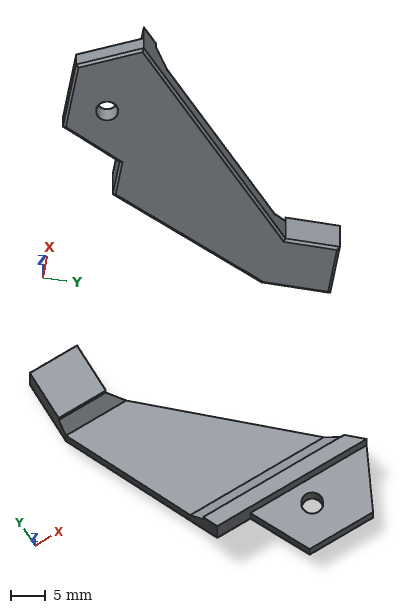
import cadquery as cq

total_height = 6.1
plate_height = 3.1
lip_height = 1.0
bottom_chamfer = 0.4

total_width = 36.3
total_length = 43.0
block_size = 8.0
ridge_left = 11.0
ridge_front = 9.1
ridge_width = 2.25

tab_left = 16.6
tab_taper = 4.47
hole_diameter = 3.2
hole_x = 25.03
hole_y = 5.75

slope_run = total_height - lip_height - plate_height
lip_bottom = total_height - lip_height
block_front = total_length - block_size
ridge_back = ridge_front + ridge_width


def outline_prism():
    """Full-height prism of the whole plan, chamfered around its underside."""
    outline = [
        (0, total_length),
        (block_size, total_length),
        (block_size, block_front),
        (total_width, ridge_front),
        (total_width - tab_taper, 0),
        (tab_left + tab_taper, 0),
        (tab_left, ridge_front),
        (ridge_left, ridge_front),
        (0, block_front - slope_run),
    ]
    prism = cq.Workplane("XY").polyline(outline).close().extrude(total_height)
    return prism.faces("<Z").edges().chamfer(bottom_chamfer)


def side_profile():
    """Stepped length-height profile, extended across the full width."""
    profile = [
        (0, 0),
        (total_length, 0),
        (total_length, total_height),
        (block_front, total_height),
        (block_front, lip_bottom),
        (block_front - slope_run, plate_height),
        (ridge_back + slope_run, plate_height),
        (ridge_back, lip_bottom),
        (ridge_back, total_height),
        (ridge_front, total_height),
        (ridge_front, plate_height),
        (0, plate_height),
    ]
    return cq.Workplane("YZ").polyline(profile).close().extrude(total_width)


def tab_hole():
    """Through hole in the mounting tab."""
    return cq.Workplane("XY").center(hole_x, hole_y).circle(hole_diameter / 2).extrude(total_height)


result = outline_prism().intersect(side_profile()).cut(tab_hole())